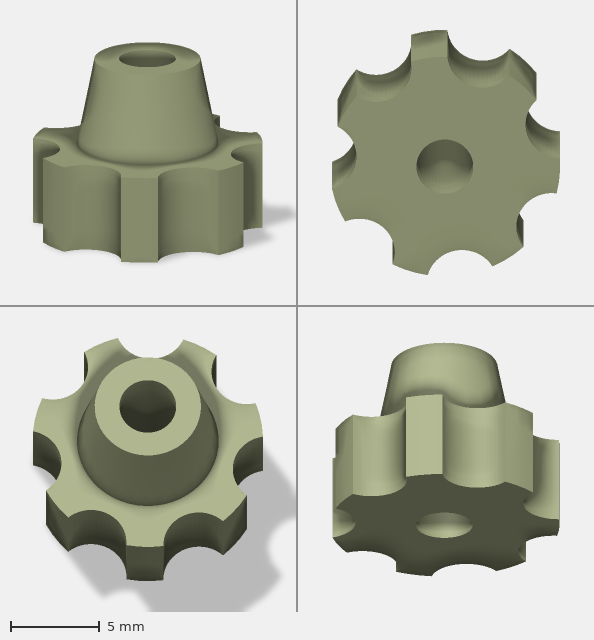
import cadquery as cq

grip_radius = 6.5
scallop_count = 7
scallop_radius = 2.0
scallop_center_radius = 7.0

total_height = 10.0
grip_height = total_height / 2
hub_height = total_height - grip_height

hub_base_radius = 4.0
hub_top_radius = 3.0
bore_diameter = 3.2


def make_grip():
    """Disc with evenly spaced scallops, the first one on the +X axis."""
    disc = cq.Workplane("XY").circle(grip_radius).extrude(grip_height)
    scallops = (
        cq.Workplane("XY")
        .polarArray(scallop_center_radius, 0, 360, scallop_count)
        .circle(scallop_radius)
        .extrude(grip_height)
    )
    return disc.cut(scallops)


def make_hub():
    """Cone frustum standing on the top face of the grip."""
    cone = cq.Solid.makeCone(
        hub_base_radius, hub_top_radius, hub_height, pnt=cq.Vector(0, 0, grip_height)
    )
    return cq.Workplane(obj=cone)


def make_bore():
    """Round hole along the axis through the whole part."""
    return cq.Workplane("XY").circle(bore_diameter / 2).extrude(total_height)


result = make_grip().union(make_hub()).cut(make_bore())